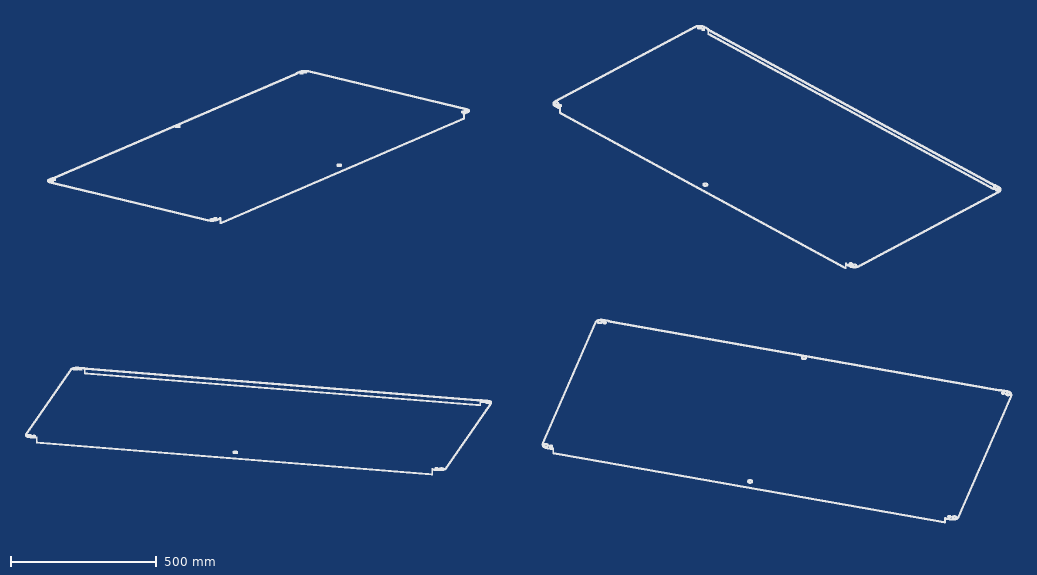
import cadquery as cq

width = 717.0
length = 1478.0
height = 19.0

thickness = 2.0
bend_radius = 3.5
flange_end_gap = 43.0
corner_radius = 20.0

large_hole_diameter = 14.3
small_hole_diameter = 8.0
hole_edge_distance = 13.0
large_hole_end_distance = 13.0
small_hole_end_distance = 31.0

flange_length = length - 2 * flange_end_gap


def make_plate():
    """Flat sheet with rounded corners, its top face at Z = 0."""
    plate = cq.Workplane("XY").workplane(offset=-thickness).rect(width, length).extrude(thickness)
    return plate.edges("|Z").fillet(corner_radius)


def make_folded_channel():
    """Sheet of constant thickness with both long sides folded down."""
    outer = cq.Workplane("XY").box(width, flange_length, height, centered=(True, True, False))
    outer = outer.translate((0, 0, -height)).edges("|Y and >Z").fillet(bend_radius)
    inner_width = width - 2 * thickness
    inner = cq.Workplane("XY").box(inner_width, flange_length, height, centered=(True, True, False))
    inner = inner.translate((0, 0, -height - thickness))
    inner = inner.edges("|Y and >Z").fillet(bend_radius - thickness)
    return outer.cut(inner)


def trim_plate_beside_folds(plate):
    """Remove the square plate edge along each fold so the bend stays round."""
    strip = cq.Workplane("XY").box(bend_radius, flange_length, 2 * height)
    for side in (-1, 1):
        plate = plate.cut(strip.translate((side * (width - bend_radius) / 2, 0, 0)))
    return plate


def drill(body, diameter, centers):
    """Cut round holes through the sheet."""
    cutters = cq.Workplane("XY").pushPoints(centers).circle(diameter / 2).extrude(-height)
    return body.cut(cutters)


hole_row_x = width / 2 - hole_edge_distance
large_hole_y = length / 2 - large_hole_end_distance
small_hole_y = length / 2 - small_hole_end_distance
large_holes = [(x, y) for x in (-hole_row_x, hole_row_x) for y in (-large_hole_y, 0, large_hole_y)]
small_holes = [(x, y) for x in (-hole_row_x, hole_row_x) for y in (-small_hole_y, small_hole_y)]

result = trim_plate_beside_folds(make_plate()).union(make_folded_channel())
result = drill(result, large_hole_diameter, large_holes)
result = drill(result, small_hole_diameter, small_holes)